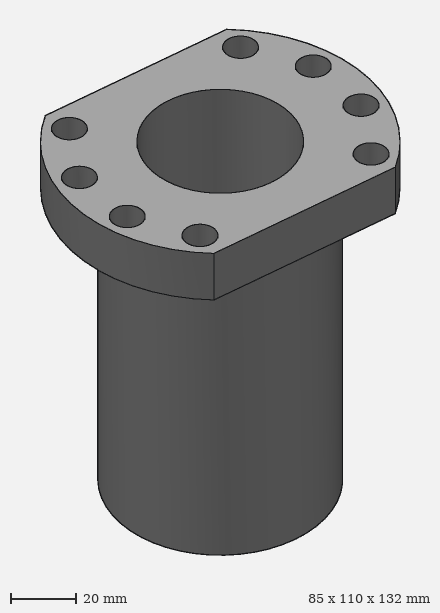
import cadquery as cq

total_length = 132.0
flange_diameter = 110.0
flange_width = 85.0
flange_thickness = 18.2
body_diameter = 75.0
bore_diameter = 51.0
bolt_circle_diameter = 93.0
bolt_hole_diameter = 11.0
bolt_angles = (45, 75, 105, 135)
half_turn = 180

flange_bottom = total_length - flange_thickness


def make_body():
    """Cylindrical sleeve standing on Z = 0."""
    return cq.Workplane("XY").circle(body_diameter / 2).extrude(total_length)


def make_flange():
    """Round flange at the top, trimmed by two flats parallel to the YZ plane."""
    disc = cq.Workplane("XY").workplane(offset=flange_bottom)
    disc = disc.circle(flange_diameter / 2).extrude(flange_thickness)
    trim = cq.Workplane("XY").workplane(offset=flange_bottom)
    trim = trim.rect(flange_width, flange_diameter).extrude(flange_thickness)
    return disc.intersect(trim)


def drill_bolt_holes(part):
    """Cut the two opposite groups of through holes in the flange."""
    for side in (0, half_turn):
        for angle in bolt_angles:
            hole = (
                cq.Workplane("XY")
                .workplane(offset=flange_bottom)
                .center(bolt_circle_diameter / 2, 0)
                .circle(bolt_hole_diameter / 2)
                .extrude(flange_thickness)
                .rotate((0, 0, 0), (0, 0, 1), angle + side)
            )
            part = part.cut(hole)
    return part


bore = cq.Workplane("XY").circle(bore_diameter / 2).extrude(total_length)

sleeve = make_body().union(make_flange()).cut(bore)
result = drill_bolt_holes(sleeve)